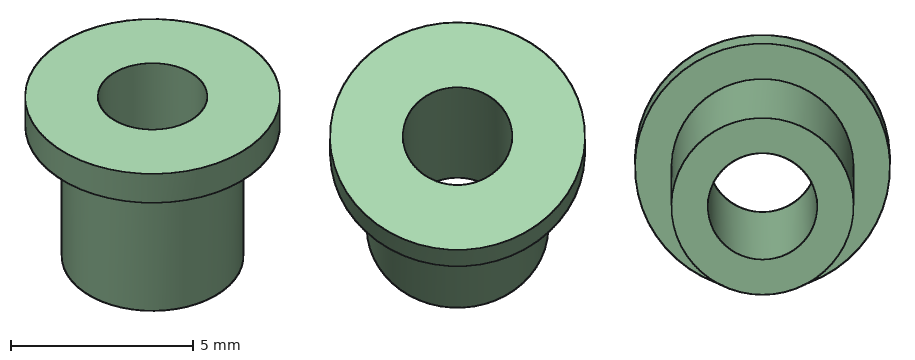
import cadquery as cq

flange_diameter = 7.0
sleeve_diameter = 5.0
bore_diameter = 3.0
total_height = 5.5
flange_thickness = 1.0
sleeve_length = total_height - flange_thickness

sleeve = cq.Workplane("XY").circle(sleeve_diameter / 2).extrude(sleeve_length)

flange = (
    cq.Workplane("XY")
    .workplane(offset=sleeve_length)
    .circle(flange_diameter / 2)
    .extrude(flange_thickness)
)

bore = cq.Workplane("XY").circle(bore_diameter / 2).extrude(total_height)

result = sleeve.union(flange).cut(bore)